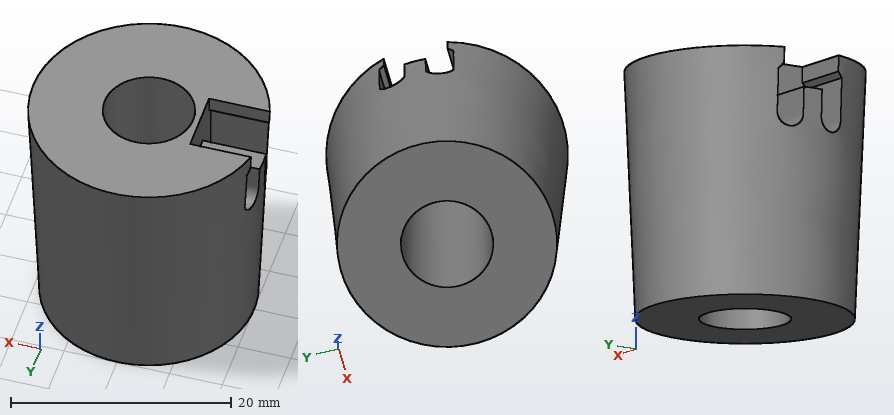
import cadquery as cq

height = 23.0
top_diameter = 22.0
bottom_diameter = 20.0
bore_diameter = 8.4

pocket_wall_x = -4.8
mouth_width = 6.0
mouth_depth = 1.5
tongue_width = 2.0
leg_width = 2.5
tongue_top_depth = 3.5
pocket_depth = 7.25

pocket_width = tongue_width + 2 * leg_width
leg_radius = leg_width / 2
shoulder_depth = mouth_depth + (pocket_width - mouth_width) / 2


def tapered_body():
    profile = [
        (bore_diameter / 2, 0),
        (bottom_diameter / 2, 0),
        (top_diameter / 2, height),
        (bore_diameter / 2, height),
    ]
    return cq.Workplane("XZ").polyline(profile).close().revolve(360, (0, 0), (0, 1))


def pocket():
    mouth_y = mouth_width / 2
    outer_y = pocket_width / 2
    inner_y = tongue_width / 2
    leg_center_y = inner_y + leg_radius
    mouth_z = height - mouth_depth
    shoulder_z = height - shoulder_depth
    tongue_z = height - tongue_top_depth
    bottom_z = height - pocket_depth
    arc_z = bottom_z + leg_radius
    outline = (
        cq.Workplane("YZ", origin=(pocket_wall_x, 0, 0))
        .moveTo(-mouth_y, height)
        .lineTo(-mouth_y, mouth_z)
        .lineTo(-outer_y, shoulder_z)
        .lineTo(-outer_y, arc_z)
        .threePointArc((-leg_center_y, bottom_z), (-inner_y, arc_z))
        .lineTo(-inner_y, tongue_z)
        .lineTo(inner_y, tongue_z)
        .lineTo(inner_y, arc_z)
        .threePointArc((leg_center_y, bottom_z), (outer_y, arc_z))
        .lineTo(outer_y, shoulder_z)
        .lineTo(mouth_y, mouth_z)
        .lineTo(mouth_y, height)
        .close()
    )
    return outline.extrude(-top_diameter / 2)


result = tapered_body().cut(pocket())